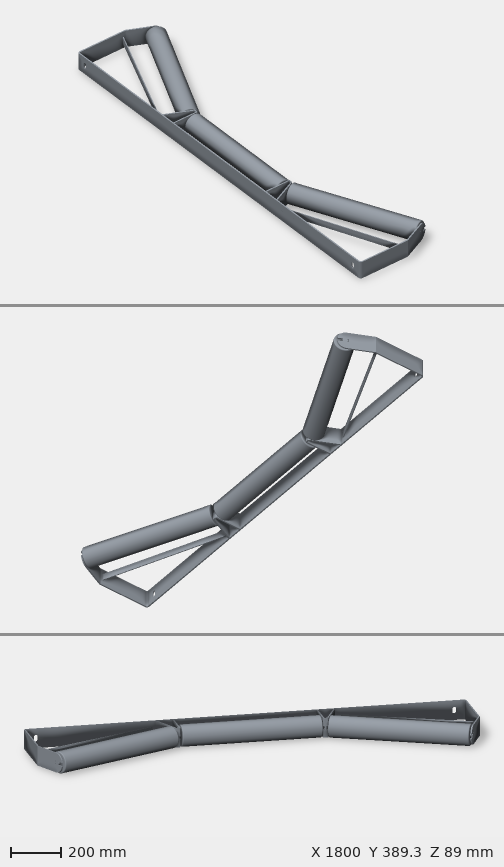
import cadquery as cq
import math

frame_length = 1800.0
frame_depth = 389.27
strip_width = 80.0
strip_thickness = 6.0
bend_radius = 12.0
trough_angle = math.radians(25)

roller_diameter = 89.0
roller_length = 570.0
roller_end_radius = 4.0
middle_roller_gap = 5.0
wing_roller_gap = 3.5
shaft_diameter = 22.0
shaft_flat_width = 14.0
slot_clearance = 2.0
middle_axis_y = 99.0

arm_reach = 125.0
arm_tip_drop = 7.0

mount_slot_x = 851.5
mount_slot_width = 16.0
mount_slot_height = 28.0

bracket_top_y = 126.0
bracket_fold_radius = 5.0

brace_width = 30.0
brace_thickness = 4.0
brace_upper_y = 230.0
brace_foot_x = 382.0

half_length = frame_length / 2
tip_radius = strip_width / 2
wing_degrees = math.degrees(trough_angle)
sin_a = math.sin(trough_angle)
cos_a = math.cos(trough_angle)
wing_end_offset = wing_roller_gap + strip_thickness
middle_shaft_length = roller_length + 2 * (middle_roller_gap + strip_thickness)
wing_shaft_length = roller_length + 2 * wing_end_offset

wing_end_x = -half_length + arm_reach * sin_a
edge_center_y = frame_depth - roller_end_radius
edge_center_radius = roller_diameter / 2 - roller_end_radius
wing_end_y = edge_center_y - edge_center_radius * cos_a + (wing_end_offset + roller_end_radius) * sin_a
bend_y = wing_end_y - arm_reach * cos_a


def wing_point(distance):
    """Point on the left wing axis, measured inward from the arm's outer face."""
    return wing_end_x + distance * cos_a, wing_end_y - distance * sin_a


def plan_extrusion(outline, width):
    """Closed XY outline extruded to a width centred on Z = 0."""
    return cq.Workplane("XY").polyline(outline).close().extrude(width / 2, both=True)


def mirrored(body):
    return body.mirror("YZ")


def make_roller(center_x, center_y, angle_degrees, shaft_length):
    tube = cq.Workplane("YZ", origin=(-roller_length / 2, 0, 0))
    tube = tube.circle(roller_diameter / 2).extrude(roller_length)
    tube = tube.faces("<X or >X").edges().fillet(roller_end_radius)
    shaft = cq.Workplane("YZ", origin=(-shaft_length / 2, 0, 0))
    shaft = shaft.circle(shaft_diameter / 2).extrude(shaft_length)
    flats = cq.Workplane("XY").box(shaft_length, shaft_diameter, shaft_flat_width)
    roller = tube.union(shaft.intersect(flats))
    roller = roller.rotate((0, 0, 0), (0, 0, 1), angle_degrees)
    return roller.translate((center_x, center_y, 0))


def make_shaft_slot(end_x, end_y, angle_degrees, length):
    """Cutter that clears one shaft end and everything above it."""
    top = strip_width
    bottom = -shaft_diameter / 2 - slot_clearance
    rise = top - bottom
    cutter = cq.Workplane("XY").box(length, rise, shaft_flat_width)
    cutter = cutter.translate((0, bottom + rise / 2, 0))
    cutter = cutter.rotate((0, 0, 0), (0, 0, 1), angle_degrees)
    return cutter.translate((end_x, end_y, 0))


def make_brace():
    run = half_length - brace_foot_x
    drop = brace_upper_y - strip_thickness
    half_rise = brace_thickness / 2 * math.hypot(run, drop) / run
    half_foot = half_rise * run / drop
    outline = [
        (-half_length, brace_upper_y + half_rise),
        (-brace_foot_x + half_foot, strip_thickness),
        (-brace_foot_x - half_foot, strip_thickness),
        (-half_length, brace_upper_y - half_rise),
    ]
    return plan_extrusion(outline, brace_width)


def make_bracket():
    leg_inner_x = -(roller_length / 2 + middle_roller_gap)
    leg_outer_x = leg_inner_x - strip_thickness
    face_x, face_y = wing_point(wing_shaft_length - strip_thickness)
    slope = math.tan(trough_angle)
    slant_span = strip_thickness / cos_a

    def slant_x(y):
        return face_x + (y - face_y) * slope

    web_y = bracket_top_y - strip_thickness
    outline = [
        (leg_inner_x, strip_thickness),
        (leg_inner_x, bracket_top_y),
        (slant_x(bracket_top_y), bracket_top_y),
        (slant_x(strip_thickness), strip_thickness),
        (slant_x(strip_thickness) + slant_span, strip_thickness),
        (slant_x(web_y) + slant_span, web_y),
        (leg_outer_x, web_y),
        (leg_outer_x, strip_thickness),
    ]
    bracket = plan_extrusion(outline, strip_width)
    bracket = bracket.faces(">Y").edges("|Z").fillet(bracket_fold_radius)
    middle_slot = make_shaft_slot(
        (leg_inner_x + leg_outer_x) / 2, middle_axis_y, 0, strip_thickness
    )
    slant_middle = wing_point(wing_shaft_length - strip_thickness / 2)
    wing_slot = make_shaft_slot(*slant_middle, -wing_degrees, strip_thickness)
    return bracket.cut(middle_slot).cut(wing_slot)


def make_arm():
    """Inclined arm, sketched on its outer face about the wing axis."""
    face = cq.Plane(
        origin=(wing_end_x, wing_end_y, 0), xDir=(sin_a, cos_a, 0), normal=(cos_a, -sin_a, 0)
    )
    arm = (
        cq.Workplane(face)
        .moveTo(-arm_reach, -tip_radius)
        .lineTo(-arm_tip_drop, -tip_radius)
        .threePointArc((tip_radius - arm_tip_drop, 0), (-arm_tip_drop, tip_radius))
        .lineTo(-arm_reach, tip_radius)
        .close()
        .extrude(strip_thickness)
    )
    arm_middle = wing_point(strip_thickness / 2)
    slot = make_shaft_slot(*arm_middle, -wing_degrees, strip_thickness)
    return arm.cut(slot)


def make_frame(braces):
    inner_x = half_length - strip_thickness
    inner_bend_y = bend_y - strip_thickness * math.tan(trough_angle / 2)
    outer = plan_extrusion(
        [(-half_length, 0), (half_length, 0), (half_length, bend_y),
         (inner_x, inner_bend_y), (-inner_x, inner_bend_y), (-half_length, bend_y)],
        strip_width,
    )
    inside = plan_extrusion(
        [(-inner_x, strip_thickness), (inner_x, strip_thickness), (inner_x, frame_depth),
         (-inner_x, frame_depth)],
        strip_width,
    )
    outer = outer.edges("|Z and <Y").fillet(bend_radius)
    inside = inside.edges("|Z and <Y").fillet(bend_radius - strip_thickness)
    frame = outer.cut(inside)

    left_arm = make_arm()
    for arm in (left_arm, mirrored(left_arm)):
        frame = frame.union(arm)
    for brace in braces:
        frame = frame.cut(brace)

    mount_slots = (
        cq.Workplane("XZ")
        .pushPoints([(-mount_slot_x, 0), (mount_slot_x, 0)])
        .slot2D(mount_slot_height, mount_slot_width, 90)
        .extrude(-strip_thickness)
    )
    return frame.cut(mount_slots)


wing_x, wing_y = wing_point(wing_shaft_length / 2)
rollers = []
for x, y, angle, shaft_length in (
    (wing_x, wing_y, -wing_degrees, wing_shaft_length),
    (0, middle_axis_y, 0, middle_shaft_length),
    (-wing_x, wing_y, wing_degrees, wing_shaft_length),
):
    rollers.append(make_roller(x, y, angle, shaft_length))

left_brace = make_brace()
braces = [left_brace, mirrored(left_brace)]
left_bracket = make_bracket()
brackets = [left_bracket, mirrored(left_bracket)]
frame = make_frame(braces)

result = cq.Compound.makeCompound([body.val() for body in [frame, *brackets, *braces, *rollers]])